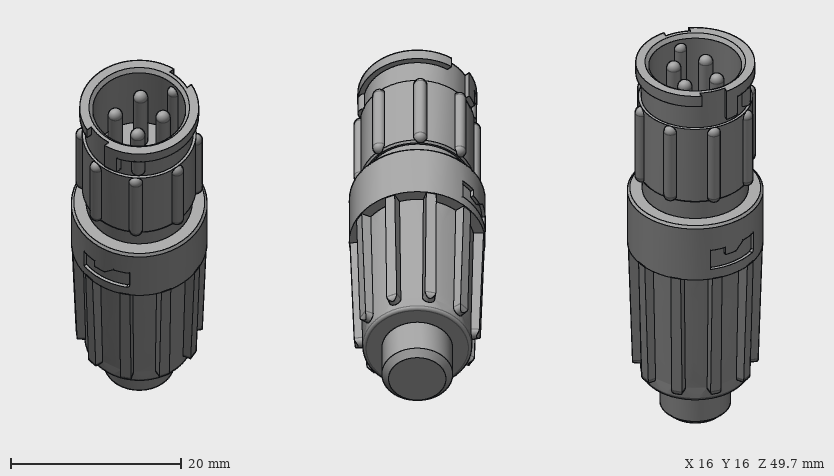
import cadquery as cq
import math

TOTAL_HEIGHT = 49.7
BODY_BOTTOM_Z = 5.3
BODY_RIB_BOTTOM_Z = 7.2
NUT_BOTTOM_Z = 23.9
NUT_TOP_Z = 31.55
COLLAR_BOTTOM_Z = 34.1
COLLAR_TOP_Z = 44.75

TAIL_RADIUS = 4.2
BODY_BOTTOM_RADIUS = 6.4
BODY_TOP_RADIUS = 6.75
NUT_RADIUS = 8.0
NECK_RADIUS = 6.25
COLLAR_RADIUS = 6.7
SLEEVE_RADIUS = 6.35

TAIL_CHAMFER = 0.8
BODY_FILLET = 0.4
NUT_CHAMFER = 0.3
COLLAR_CHAMFER = 0.25

BODY_RIB_COUNT = 10
BODY_RIB_WIDTH = 1.55
BODY_RIB_TOP_RADIUS = 7.9
BODY_RIB_BOTTOM_RADIUS = 7.4
BODY_RIB_ROOT_RADIUS = 5.95
BODY_RIB_DRAFT = 5.0

COLLAR_RIB_COUNT = 8
COLLAR_RIB_RADIUS = 0.8
COLLAR_RIB_CENTER_RADIUS = 6.65

BORE_RADIUS = 5.45
BORE_FLOOR_Z = 39.75
BORE_CHAMFER = 0.45
PIN_RADIUS = 0.85
PIN_OFFSET = 2.0
PIN_SHANK_TOP_Z = 47.95
KEY_RADIUS = 0.75
KEY_CENTER_Y = 5.4

RIM_RADIUS = 7.0
RIM_HEIGHT = 1.5
ENTRY_HALF_WIDTH = 1.55
STOP_WIDTH = 1.55
STOP_HEIGHT = 4.1
DETENT_RADIUS = 0.8
DETENT_CENTER_RADIUS = 6.2
DETENT_ANGLE = -42.6

MARKER_DEPTH = 0.4
MARKER_LEFT = -0.85
MARKER_RIGHT = 5.15
MARKER_BOTTOM_Z = 25.3
MARKER_TOP_Z = 28.05
MARKER_NOTCH_Z = 27.0
MARKER_NOTCH_LEFT = 1.05
MARKER_NOTCH_RIGHT = 2.45
MARKER_SLOPE_END = 3.5
MARKER_CORNER = 0.25

OVERLAP = 0.5


def cylinder(radius, bottom, top, center=(0, 0)):
    return cq.Workplane("XY", origin=(*center, bottom)).circle(radius).extrude(top - bottom)


def ball(radius, x, y, z):
    return cq.Workplane("XY", origin=(x, y, z)).sphere(radius)


def spun(shape, angle):
    return shape.rotate((0, 0, 0), (0, 0, 1), angle)


def domed_pin(radius, x, y):
    shank = cylinder(radius, BORE_FLOOR_Z - OVERLAP, PIN_SHANK_TOP_Z, (x, y))
    return shank.union(ball(radius, x, y, PIN_SHANK_TOP_Z))


def tapered_body():
    height = NUT_BOTTOM_Z - BODY_BOTTOM_Z
    profile = (
        cq.Workplane("XZ", origin=(0, 0, BODY_BOTTOM_Z))
        .lineTo(BODY_BOTTOM_RADIUS, 0)
        .lineTo(BODY_TOP_RADIUS, height)
        .lineTo(0, height)
        .close()
    )
    return profile.revolve(360, (0, 0), (0, 1)).faces("<Z").edges().fillet(BODY_FILLET)


def body_rib():
    """Drafted rib at -Y whose lower end is rounded in width and in depth."""
    end_radius = BODY_RIB_WIDTH / 2
    tip_z = BODY_RIB_BOTTOM_Z - end_radius
    side = (
        cq.Workplane("YZ")
        .moveTo(-BODY_RIB_ROOT_RADIUS, NUT_BOTTOM_Z + OVERLAP)
        .lineTo(-BODY_RIB_TOP_RADIUS, NUT_BOTTOM_Z)
        .lineTo(-BODY_RIB_BOTTOM_RADIUS, BODY_RIB_BOTTOM_Z)
        .radiusArc((-BODY_RIB_BOTTOM_RADIUS + end_radius, tip_z), -end_radius)
        .lineTo(-BODY_RIB_ROOT_RADIUS, tip_z)
        .close()
        .extrude(end_radius, both=True)
    )
    face = (
        cq.Workplane("XZ", origin=(0, -BODY_RIB_ROOT_RADIUS, 0))
        .moveTo(-end_radius, NUT_BOTTOM_Z + OVERLAP)
        .lineTo(-end_radius, BODY_RIB_BOTTOM_Z)
        .threePointArc((0, tip_z), (end_radius, BODY_RIB_BOTTOM_Z))
        .lineTo(end_radius, NUT_BOTTOM_Z + OVERLAP)
        .close()
        .extrude(NUT_RADIUS - BODY_RIB_ROOT_RADIUS, taper=BODY_RIB_DRAFT)
    )
    return side.intersect(face)


def collar_rib():
    """Round rib at +X with a domed end at top and bottom."""
    low = COLLAR_BOTTOM_Z + COLLAR_RIB_RADIUS
    high = COLLAR_TOP_Z - COLLAR_RIB_RADIUS
    center = (COLLAR_RIB_CENTER_RADIUS, 0)
    rib = cylinder(COLLAR_RIB_RADIUS, low, high, center)
    for z in (low, high):
        rib = rib.union(ball(COLLAR_RIB_RADIUS, *center, z))
    return rib


def bayonet_rim():
    """Rim with two entry gaps, each followed by a stop wall and a detent bump."""
    rim_bottom = TOTAL_HEIGHT - RIM_HEIGHT
    stop_bottom = TOTAL_HEIGHT - STOP_HEIGHT
    gap = cq.Workplane("XY", origin=(0, 0, rim_bottom)).rect(2 * ENTRY_HALF_WIDTH, 2 * NUT_RADIUS)
    rim = cylinder(RIM_RADIUS, rim_bottom, TOTAL_HEIGHT).cut(gap.extrude(RIM_HEIGHT))

    stop = (
        cq.Workplane("XY", origin=(ENTRY_HALF_WIDTH, 0, stop_bottom))
        .rect(STOP_WIDTH, -RIM_RADIUS, centered=False)
        .extrude(STOP_HEIGHT)
        .intersect(cylinder(RIM_RADIUS, stop_bottom, TOTAL_HEIGHT))
    )
    angle = math.radians(DETENT_ANGLE)
    detent_center = (DETENT_CENTER_RADIUS * math.cos(angle), DETENT_CENTER_RADIUS * math.sin(angle))
    detent = cylinder(DETENT_RADIUS, stop_bottom, rim_bottom, detent_center)
    for turn in (0, 180):
        rim = rim.union(spun(stop, turn)).union(spun(detent, turn))
    return rim


def marker_recess():
    """Notched recess at -Y; its end walls point at the part axis."""
    floor_radius = NUT_RADIUS - MARKER_DEPTH
    outline = [
        (MARKER_LEFT, MARKER_BOTTOM_Z),
        (MARKER_RIGHT - MARKER_CORNER, MARKER_BOTTOM_Z),
        (MARKER_RIGHT, MARKER_BOTTOM_Z + MARKER_CORNER),
        (MARKER_RIGHT, MARKER_TOP_Z),
        (MARKER_SLOPE_END, MARKER_TOP_Z),
        (MARKER_NOTCH_RIGHT, MARKER_NOTCH_Z),
        (MARKER_NOTCH_LEFT, MARKER_NOTCH_Z),
        (MARKER_NOTCH_LEFT, MARKER_TOP_Z),
        (MARKER_LEFT, MARKER_TOP_Z),
    ]

    def section(distance):
        points = []
        for x, z in outline:
            angle = math.asin(x / NUT_RADIUS)
            points.append(cq.Vector(distance * math.tan(angle), -distance, z))
        return cq.Wire.makePolygon(points, close=True)

    near = floor_radius / 2
    far = NUT_RADIUS + OVERLAP
    wedge = cq.Workplane(cq.Solid.makeLoft([section(near), section(far)], True))
    return wedge.cut(cylinder(floor_radius, NUT_BOTTOM_Z, NUT_TOP_Z))


result = cylinder(TAIL_RADIUS, 0, BODY_BOTTOM_Z + OVERLAP).faces("<Z").chamfer(TAIL_CHAMFER)
result = result.union(tapered_body())
nut = cylinder(NUT_RADIUS, NUT_BOTTOM_Z, NUT_TOP_Z).faces(">Z").chamfer(NUT_CHAMFER)
recess = marker_recess()
for turn in (0, 180):
    nut = nut.cut(spun(recess, turn))
collar = cylinder(COLLAR_RADIUS, COLLAR_BOTTOM_Z, COLLAR_TOP_Z).faces("<Z").chamfer(COLLAR_CHAMFER)
neck = cylinder(NECK_RADIUS, NUT_TOP_Z - OVERLAP, COLLAR_BOTTOM_Z + OVERLAP)
sleeve = cylinder(SLEEVE_RADIUS, COLLAR_TOP_Z - OVERLAP, TOTAL_HEIGHT)

rib = body_rib()
for index in range(BODY_RIB_COUNT):
    result = result.union(spun(rib, index * 360 / BODY_RIB_COUNT))
rib = collar_rib()
for index in range(COLLAR_RIB_COUNT):
    collar = collar.union(spun(rib, index * 360 / COLLAR_RIB_COUNT))

for section_shape in (nut, neck, collar, sleeve, bayonet_rim()):
    result = result.union(section_shape)

bore = cylinder(BORE_RADIUS, BORE_FLOOR_Z, TOTAL_HEIGHT)
lead_in = (
    cq.Workplane("XY", origin=(0, 0, TOTAL_HEIGHT))
    .circle(BORE_RADIUS + BORE_CHAMFER)
    .extrude(-2 * BORE_CHAMFER, taper=45)
)
result = result.cut(bore).cut(lead_in)

for x in (-PIN_OFFSET, PIN_OFFSET):
    for y in (-PIN_OFFSET, PIN_OFFSET):
        result = result.union(domed_pin(PIN_RADIUS, x, y))
result = result.union(domed_pin(KEY_RADIUS, 0, KEY_CENTER_Y))